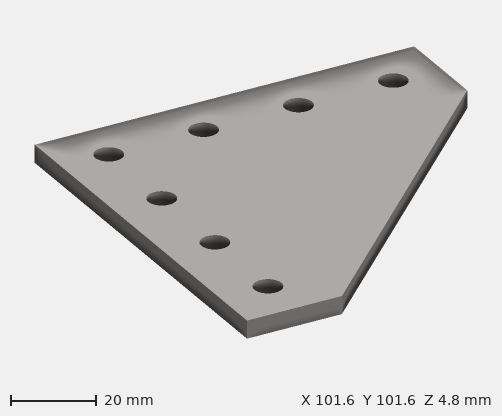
import cadquery as cq

side = 101.6
thickness = 4.8
hole_diameter = 7.2
holes_per_arm = 4

pitch = side / holes_per_arm
arm_width = pitch
edge_offset = arm_width / 2

outline = [
    (0, 0),
    (side, 0),
    (side, arm_width),
    (arm_width, side),
    (0, side),
]
plate = cq.Workplane("XY").polyline(outline).close().extrude(thickness)

steps = [edge_offset + i * pitch for i in range(holes_per_arm)]
x_arm_holes = [(x, edge_offset) for x in steps]
y_arm_holes = [(edge_offset, y) for y in steps[1:]]
holes = (
    cq.Workplane("XY")
    .pushPoints(x_arm_holes + y_arm_holes)
    .circle(hole_diameter / 2)
    .extrude(thickness)
)

result = plate.cut(holes)